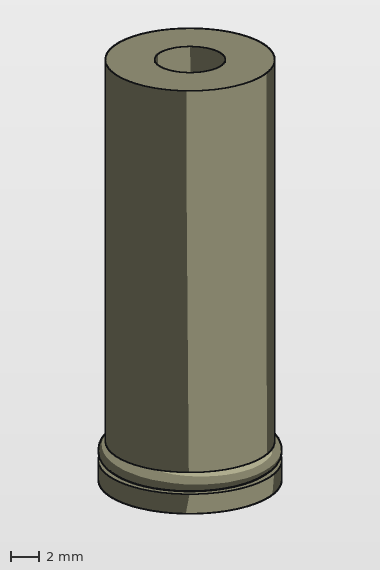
import cadquery as cq
import math

TOTAL_HEIGHT = 32.0
BODY_DIAMETER = 12.0
FLANGE_DIAMETER = 13.0
BORE_DIAMETER = 5.0
FLANGE_HEIGHT = 1.5
BEAD_THICKNESS = 1.5

BODY_RADIUS = BODY_DIAMETER / 2
FLANGE_RADIUS = FLANGE_DIAMETER / 2
BORE_RADIUS = BORE_DIAMETER / 2

BEAD_SECTION_RADIUS = BEAD_THICKNESS / 2
BEAD_CENTRE_RADIUS = FLANGE_RADIUS - BEAD_SECTION_RADIUS
BEAD_CENTRE_Z = FLANGE_HEIGHT + BEAD_SECTION_RADIUS

BEAD_HALF_HEIGHT = math.sqrt(BEAD_SECTION_RADIUS**2 - (BODY_RADIUS - BEAD_CENTRE_RADIUS) ** 2)


def sleeve():
    """Flanged sleeve with its bead and through bore, revolved about Z."""
    half_section = (
        cq.Workplane("XZ")
        .moveTo(BORE_RADIUS, 0)
        .lineTo(FLANGE_RADIUS, 0)
        .lineTo(FLANGE_RADIUS, FLANGE_HEIGHT)
        .lineTo(BODY_RADIUS, FLANGE_HEIGHT)
        .lineTo(BODY_RADIUS, BEAD_CENTRE_Z - BEAD_HALF_HEIGHT)
        .threePointArc(
            (FLANGE_RADIUS, BEAD_CENTRE_Z),
            (BODY_RADIUS, BEAD_CENTRE_Z + BEAD_HALF_HEIGHT),
        )
        .lineTo(BODY_RADIUS, TOTAL_HEIGHT)
        .lineTo(BORE_RADIUS, TOTAL_HEIGHT)
        .close()
    )
    return half_section.revolve(360, (0, 0, 0), (0, 1, 0))


result = sleeve()